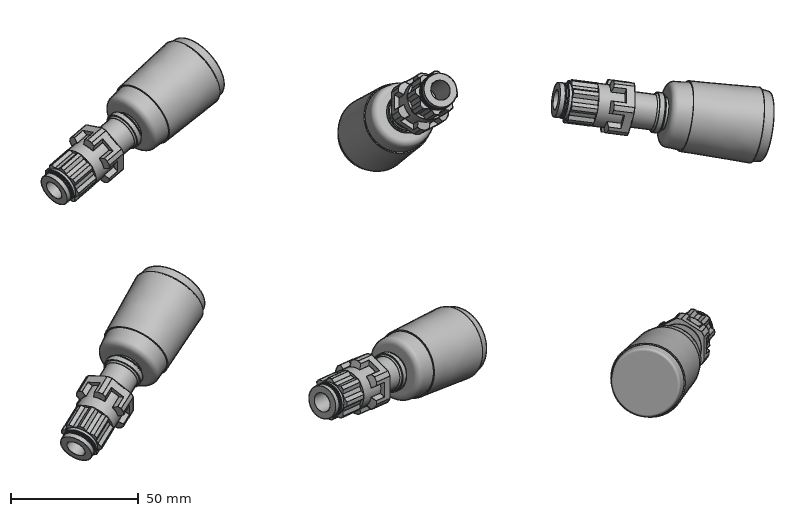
import cadquery as cq
import math

LENGTH = 85.1

ring_dia = 13.8
ring_bevel_width = 0.3
ring_bevel_depth = 0.1
ring_width = 1.95
groove_dia = 9.8
tail_start = 2.55
tail_chamfer = 0.25
seal_start = 3.1
seal_end = 3.6
seal_depth = 0.25

tail_dia = 14.0
bore_dia = 8.0
bore_depth = 17.0

spline_start = 4.8
spline_end = 15.2
spline_root_dia = 15.0
spline_tip_dia = 17.4
spline_count = 8
spline_tip_width = 1.7
spline_root_width = 4.0
sleeve_dia = 17.0

nut_start = 20.1
nut_end = 29.3
nut_flats = 20.7
nut_corner_dia = 22.7
nut_nose = 0.85
lug_width = 4.9
lug_length = 5.7
washer_dia = 18.5
washer_end = 29.7

bead_start = 39.3
bead_dia = 15.0
bead_round = 0.4
collar_start = 40.1
collar_end = 42.3
collar_dia = 16.0
collar_lip_end = 42.8
neck_dia = 13.0

grip_start = 44.1
skirt_round = 2.5
skirt_top = 52.15
skirt_bottom_dia = 25.7
skirt_top_dia = 27.0
grip_bottom_dia = 28.0
grip_top = 80.65
grip_dia = 30.0
cap_bottom_dia = 28.9
cap_top_dia = 27.65
cap_round = 1.0


def turned(points):
    """Revolve a (radius, y) outline, closed along the axis, about Y."""
    outline = [(0, points[0][1])] + points + [(0, points[-1][1])]
    return cq.Workplane("XY").polyline(outline).close().revolve(360, (0, 0), (0, 1))


def disc(dia, start, end):
    return turned([(dia / 2, start), (dia / 2, end)])


def along_y(start):
    """Sketch plane facing +Y at the given station; local x is -X, local y is Z."""
    return cq.Workplane(cq.Plane(origin=(0, start, 0), xDir=(-1, 0, 0), normal=(0, 1, 0)))


def tail_and_tube():
    r = tail_dia / 2
    ring_r = ring_dia / 2
    return turned([
        (ring_r - ring_bevel_depth, 0),
        (ring_r, ring_bevel_width),
        (ring_r, ring_width),
        (groove_dia / 2, ring_width),
        (groove_dia / 2, tail_start),
        (r - tail_chamfer, tail_start),
        (r, seal_start),
        (r - seal_depth, seal_start),
        (r - seal_depth, seal_end),
        (r, seal_end),
        (r, bead_start),
    ])


def splined_sleeve():
    length = spline_end - spline_start
    tip_r = spline_tip_dia / 2
    root_r = spline_root_dia / 2
    tip_x = spline_tip_width / 2
    root_x = spline_root_width / 2
    tip_y = math.sqrt(tip_r**2 - tip_x**2)
    root_y = math.sqrt(root_r**2 - root_x**2)
    tooth = (
        along_y(spline_start)
        .moveTo(-root_x, 0)
        .lineTo(-root_x, root_y)
        .lineTo(-tip_x, tip_y)
        .threePointArc((0, tip_r), (tip_x, tip_y))
        .lineTo(root_x, root_y)
        .lineTo(root_x, 0)
        .close()
        .extrude(length)
    )
    sleeve = disc(spline_root_dia, spline_start, spline_end)
    for i in range(spline_count):
        sleeve = sleeve.union(tooth.rotate((0, 0, 0), (0, 1, 0), i * 360 / spline_count))
    return sleeve.union(disc(sleeve_dia, spline_end, nut_end))


def hex_nut():
    """Hexagon with corners toward +Z and -Z, slotted so that one lug stands at each corner."""
    across_corners = nut_flats / math.cos(math.pi / 6)
    hexagon = (
        along_y(nut_start)
        .transformed(rotate=(0, 0, 90))
        .polygon(6, across_corners)
        .extrude(nut_end - nut_start)
    )
    corner_r = nut_corner_dia / 2
    envelope = turned([
        (sleeve_dia / 2, nut_start),
        (corner_r, nut_start + nut_nose),
        (corner_r, nut_end),
    ])
    lug_pair = along_y(nut_start).rect(lug_width, nut_corner_dia).extrude(lug_length)
    web_and_lugs = disc(nut_corner_dia, nut_start + lug_length, nut_end)
    for angle in (0, 60, 120):
        web_and_lugs = web_and_lugs.union(lug_pair.rotate((0, 0, 0), (0, 1, 0), angle))
    return hexagon.intersect(envelope).intersect(web_and_lugs)


def collar():
    bead = disc(bead_dia, bead_start, collar_start).faces("<Y").edges().fillet(bead_round)
    flange = disc(collar_dia, collar_start, collar_end)
    lip = disc(bead_dia, collar_end, collar_lip_end)
    neck = disc(neck_dia, collar_lip_end, grip_start)
    return bead.union(flange).union(lip).union(neck)


def grip():
    skirt = turned([
        (skirt_bottom_dia / 2, grip_start),
        (skirt_top_dia / 2, skirt_top),
    ]).faces("<Y").edges().fillet(skirt_round)
    barrel = turned([(grip_bottom_dia / 2, skirt_top), (grip_dia / 2, grip_top)])
    cap = turned([
        (cap_bottom_dia / 2, grip_top),
        (cap_top_dia / 2, LENGTH),
    ]).faces(">Y").edges().fillet(cap_round)
    return skirt.union(barrel).union(cap)


washer = disc(washer_dia, nut_end, washer_end)
bore = disc(bore_dia, 0, bore_depth)
result = tail_and_tube().union(splined_sleeve()).union(hex_nut()).union(washer)
result = result.union(collar()).union(grip()).cut(bore)